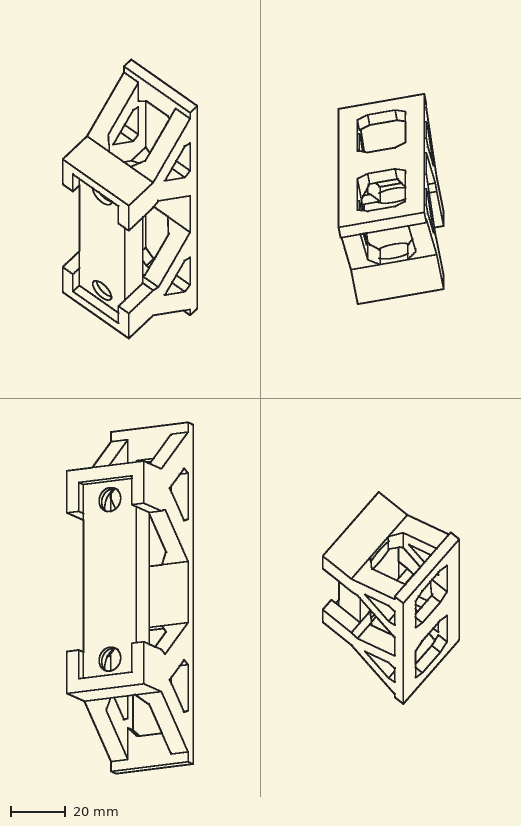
import cadquery as cq

WIDTH = 32.0
DEPTH = 38.5
HEIGHT = 128.0
OVERCUT = 1.3

PLATE_DEPTH = 4.1
BLOCK_DEPTH = 24.8
BAR_FRONT_DEPTH = 35.0

BLOCK_INNER = 26.1
BLOCK_OUTER = 42.0
ARM_INNER_ROOT = 11.5
ARM_OUTER_ROOT = 60.3
ARM_INNER_TIP_DEPTH = 21.9
ARM_INNER_TIP = 27.3

WINDOW_APEX_DEPTH = 18.3
WINDOW_APEX = 36.1
WINDOW_CORNER_DEPTH = 7.0
WINDOW_CORNER_HALF = 9.9
WINDOW_BASE_HALF = 8.7

OPENING_HALF_WIDTH = 9.0
OPENING_TOP = 52.0
CORNER_WIDTH = 3.8
CORNER_RISE = 3.6
CORNER_DEPTH = 3.8

FRAME_WALL = 5.0
BAR_WIDTH = WIDTH - 2 * FRAME_WALL
BAR_HALF_HEIGHT = BLOCK_OUTER - FRAME_WALL

HOLE_HEIGHT = 30.1
HOLE_DIAMETER = 9.0
COUNTERBORE_DIAMETER = 15.0
HOLE_LIP = 2.0


def side_prism(points):
    """Full-width prism from (depth, height) points."""
    outline = [(-depth, height) for depth, height in points]
    return cq.Workplane("YZ").polyline(outline).close().extrude(WIDTH / 2, both=True)


def front_prism(points, start_depth, end_depth):
    """Prism from (x, height) points running between two depths."""
    plane = cq.Workplane("XZ", origin=(0, -start_depth, 0))
    return plane.polyline(points).close().extrude(end_depth - start_depth)


def centred_box(width, start_depth, end_depth, low, high):
    """Box centred on X between two depths and two heights."""
    box = cq.Workplane("XY").box(width, end_depth - start_depth, high - low)
    return box.translate((0, -(start_depth + end_depth) / 2, (low + high) / 2))


def solid_bracket():
    """Upper arms and block, before the space between the arms is removed."""
    body = side_prism([
        (PLATE_DEPTH, ARM_INNER_ROOT),
        (PLATE_DEPTH, ARM_OUTER_ROOT),
        (BLOCK_DEPTH, BLOCK_OUTER),
        (DEPTH, BLOCK_OUTER),
        (DEPTH, BLOCK_INNER),
        (BLOCK_DEPTH, BLOCK_INNER),
        (ARM_INNER_TIP_DEPTH, ARM_INNER_TIP),
    ])
    window = side_prism([
        (PLATE_DEPTH, WINDOW_APEX - WINDOW_BASE_HALF),
        (WINDOW_CORNER_DEPTH, WINDOW_APEX - WINDOW_CORNER_HALF),
        (WINDOW_APEX_DEPTH, WINDOW_APEX),
        (WINDOW_CORNER_DEPTH, WINDOW_APEX + WINDOW_CORNER_HALF),
        (PLATE_DEPTH, WINDOW_APEX + WINDOW_BASE_HALF),
    ])
    return body.cut(window)


def arm_space():
    """Space between the arms, with corners left at the block and at the bottom."""
    half = OPENING_HALF_WIDTH
    narrow = half - CORNER_WIDTH
    corner_depth = BLOCK_DEPTH - CORNER_DEPTH
    plan = [
        (-half, -PLATE_DEPTH),
        (half, -PLATE_DEPTH),
        (half, -corner_depth),
        (narrow, -BLOCK_DEPTH),
        (-narrow, -BLOCK_DEPTH),
        (-half, -corner_depth),
    ]
    elevation = [
        (-narrow, ARM_INNER_ROOT),
        (narrow, ARM_INNER_ROOT),
        (half, ARM_INNER_ROOT + CORNER_RISE),
        (half, HEIGHT / 2),
        (-half, HEIGHT / 2),
        (-half, ARM_INNER_ROOT + CORNER_RISE),
    ]
    column = cq.Workplane("XY").polyline(plan).close().extrude(HEIGHT / 2)
    return column.intersect(front_prism(elevation, PLATE_DEPTH, BLOCK_DEPTH))


def plate_opening():
    """Eight-sided opening through the plate behind the arms."""
    half = OPENING_HALF_WIDTH
    narrow = half - CORNER_WIDTH
    points = [
        (-narrow, ARM_INNER_ROOT),
        (narrow, ARM_INNER_ROOT),
        (half, ARM_INNER_ROOT + CORNER_RISE),
        (half, OPENING_TOP - CORNER_RISE),
        (narrow, OPENING_TOP),
        (-narrow, OPENING_TOP),
        (-half, OPENING_TOP - CORNER_RISE),
        (-half, ARM_INNER_ROOT + CORNER_RISE),
    ]
    return front_prism(points, -OVERCUT, PLATE_DEPTH)


def stepped_hole():
    """Through hole with a counterbore entering from the back of the block."""
    plane = cq.Workplane("XZ", origin=(0, -BLOCK_DEPTH, HOLE_HEIGHT))
    bar_depth = BAR_FRONT_DEPTH - BLOCK_DEPTH
    hole = plane.circle(HOLE_DIAMETER / 2).extrude(bar_depth + OVERCUT)
    counterbore = plane.circle(COUNTERBORE_DIAMETER / 2).extrude(bar_depth - HOLE_LIP)
    return hole.union(counterbore)


def mirrored_pair(upper):
    """The upper feature together with its mirror image below mid-height."""
    return upper.union(upper.mirror("XY"))


plate = centred_box(WIDTH, 0, PLATE_DEPTH, -HEIGHT / 2, HEIGHT / 2)
plate = plate.cut(mirrored_pair(plate_opening()))

frame_recess = centred_box(BAR_WIDTH, BAR_FRONT_DEPTH, DEPTH + OVERCUT, 0, BAR_HALF_HEIGHT)
bracket = solid_bracket().cut(arm_space()).cut(frame_recess)

bar = centred_box(BAR_WIDTH, BLOCK_DEPTH, BAR_FRONT_DEPTH, -BAR_HALF_HEIGHT, BAR_HALF_HEIGHT)

result = plate.union(mirrored_pair(bracket)).union(bar)
result = result.cut(mirrored_pair(stepped_hole()))